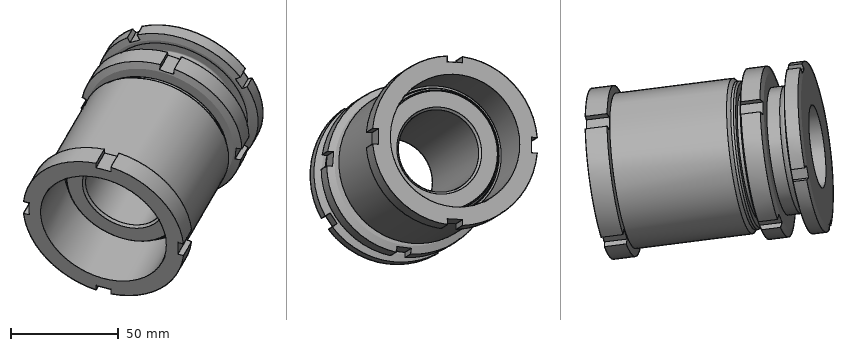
import cadquery as cq
import math

TOTAL_LENGTH = 101.6
RIM_RADIUS = 80.0 / 2
RIM_FACE_RADIUS = 36.4
SLOT_COUNT = 4

SLEEVE_LENGTH = 70.0
FLANGE_LENGTH = 11.0
FLANGE_CHAMFER = 0.6
BARREL_RADIUS = 36.4
BARREL_TIP_RADIUS = 34.8
BARREL_TIP_LENGTH = 2.1
BARREL_TIP_CHAMFER = 0.9
COUNTERBORE_RADIUS = 31.3
COUNTERBORE_DEPTH = 30.0
THREAD_RADIUS = 29.9
THREAD_MOUTH_CHAMFER = 0.4
FLANGE_SLOT_WIDTH = 7.3
FLANGE_SLOT_DEPTH = 2.9

NUT_FRONT = 72.7
NUT_LENGTH = 11.3
NUT_RIM_CHAMFER = 1.1
NUT_SLOT_WIDTH = 6.9
NUT_SLOT_DEPTH = 2.7
NUT_TURN = 4.2

SCREW_FRONT = 25.6
SCREW_TIP_RADIUS = 28.8
SCREW_TIP_LENGTH = 1.6
SCREW_TIP_CHAMFER = 0.6
THREAD_END = 90.0
SHOULDER_END = 91.2
HEAD_LENGTH = 8.0
HEAD_RIM_CHAMFER = 0.8
NECK_RADIUS = 28.2
NECK_START = 92.2
NECK_FILLET = 0.8
HEAD_RECESS_RADIUS = 35.0
HEAD_RECESS_DEPTH = 1.9
BORE_RADIUS = 19.4
BORE_CHAMFER = 1.1
HEAD_SLOT_WIDTH = 5.9
HEAD_SLOT_DEPTH = 2.7
SCREW_TURN = -34.6


def revolve_about_y(outline):
    """Close an outline drawn in (radius, y) and revolve it about the Y axis."""
    return outline.close().revolve(360, (0, 0), (0, 1))


def turn_about_y(body, angle):
    """Rotate a body by an angle in degrees about the common axis."""
    return body.rotate((0, 0, 0), (0, 1, 0), angle)


def cut_spanner_slots(body, front, length, width, depth):
    """Cut evenly spaced slots through a rim, the first one at +Z."""
    for i in range(SLOT_COUNT):
        slot = (
            cq.Workplane("XY")
            .box(width, length, 2 * depth)
            .translate((0, front + length / 2, RIM_RADIUS))
        )
        body = body.cut(turn_about_y(slot, i * 360 / SLOT_COUNT))
    return body


def make_sleeve():
    tip_start = SLEEVE_LENGTH - BARREL_TIP_LENGTH
    barrel_end = tip_start - (BARREL_RADIUS - BARREL_TIP_RADIUS)
    outline = cq.Workplane("XY").polyline([
        (COUNTERBORE_RADIUS, 0),
        (RIM_RADIUS, 0),
        (RIM_RADIUS, FLANGE_LENGTH - FLANGE_CHAMFER),
        (BARREL_RADIUS, FLANGE_LENGTH),
        (BARREL_RADIUS, barrel_end),
        (BARREL_TIP_RADIUS, tip_start),
        (BARREL_TIP_RADIUS, SLEEVE_LENGTH - BARREL_TIP_CHAMFER),
        (BARREL_TIP_RADIUS - BARREL_TIP_CHAMFER, SLEEVE_LENGTH),
        (THREAD_RADIUS, SLEEVE_LENGTH),
        (THREAD_RADIUS, COUNTERBORE_DEPTH + THREAD_MOUTH_CHAMFER),
        (THREAD_RADIUS + THREAD_MOUTH_CHAMFER, COUNTERBORE_DEPTH),
        (COUNTERBORE_RADIUS, COUNTERBORE_DEPTH),
    ])
    body = revolve_about_y(outline)
    return cut_spanner_slots(body, 0, FLANGE_LENGTH, FLANGE_SLOT_WIDTH, FLANGE_SLOT_DEPTH)


def make_lock_nut():
    nut_back = NUT_FRONT + NUT_LENGTH
    outline = cq.Workplane("XY").polyline([
        (THREAD_RADIUS, NUT_FRONT),
        (RIM_FACE_RADIUS, NUT_FRONT),
        (RIM_RADIUS, NUT_FRONT + NUT_RIM_CHAMFER),
        (RIM_RADIUS, nut_back - NUT_RIM_CHAMFER),
        (RIM_FACE_RADIUS, nut_back),
        (THREAD_RADIUS, nut_back),
    ])
    body = revolve_about_y(outline)
    body = cut_spanner_slots(body, NUT_FRONT, NUT_LENGTH, NUT_SLOT_WIDTH, NUT_SLOT_DEPTH)
    return turn_about_y(body, NUT_TURN)


def make_screw():
    tip_end = SCREW_FRONT + SCREW_TIP_LENGTH
    thread_start = tip_end + (THREAD_RADIUS - SCREW_TIP_RADIUS)
    head_front = TOTAL_LENGTH - HEAD_LENGTH
    recess_floor = head_front + HEAD_RECESS_DEPTH
    fillet_middle = NECK_FILLET * (1 - math.sqrt(0.5))
    outline = (
        cq.Workplane("XY")
        .polyline([
            (BORE_RADIUS, TOTAL_LENGTH),
            (BORE_RADIUS, SCREW_FRONT + BORE_CHAMFER),
            (BORE_RADIUS + BORE_CHAMFER, SCREW_FRONT),
            (SCREW_TIP_RADIUS - SCREW_TIP_CHAMFER, SCREW_FRONT),
            (SCREW_TIP_RADIUS, SCREW_FRONT + SCREW_TIP_CHAMFER),
            (SCREW_TIP_RADIUS, tip_end),
            (THREAD_RADIUS, thread_start),
            (THREAD_RADIUS, THREAD_END),
            (SCREW_TIP_RADIUS, SHOULDER_END),
            (NECK_RADIUS, NECK_START),
            (NECK_RADIUS, recess_floor - NECK_FILLET),
        ])
        .threePointArc(
            (NECK_RADIUS + fillet_middle, recess_floor - fillet_middle),
            (NECK_RADIUS + NECK_FILLET, recess_floor),
        )
        .lineTo(HEAD_RECESS_RADIUS, recess_floor)
        .lineTo(HEAD_RECESS_RADIUS, head_front)
        .lineTo(RIM_FACE_RADIUS, head_front)
        .lineTo(RIM_RADIUS, head_front + HEAD_RIM_CHAMFER)
        .lineTo(RIM_RADIUS, TOTAL_LENGTH - HEAD_RIM_CHAMFER)
        .lineTo(RIM_FACE_RADIUS, TOTAL_LENGTH)
    )
    body = revolve_about_y(outline)
    body = cut_spanner_slots(body, head_front, HEAD_LENGTH, HEAD_SLOT_WIDTH, HEAD_SLOT_DEPTH)
    return turn_about_y(body, SCREW_TURN)


sleeve = make_sleeve()
lock_nut = make_lock_nut()
screw = make_screw()

result = cq.Compound.makeCompound([sleeve.val(), lock_nut.val(), screw.val()])